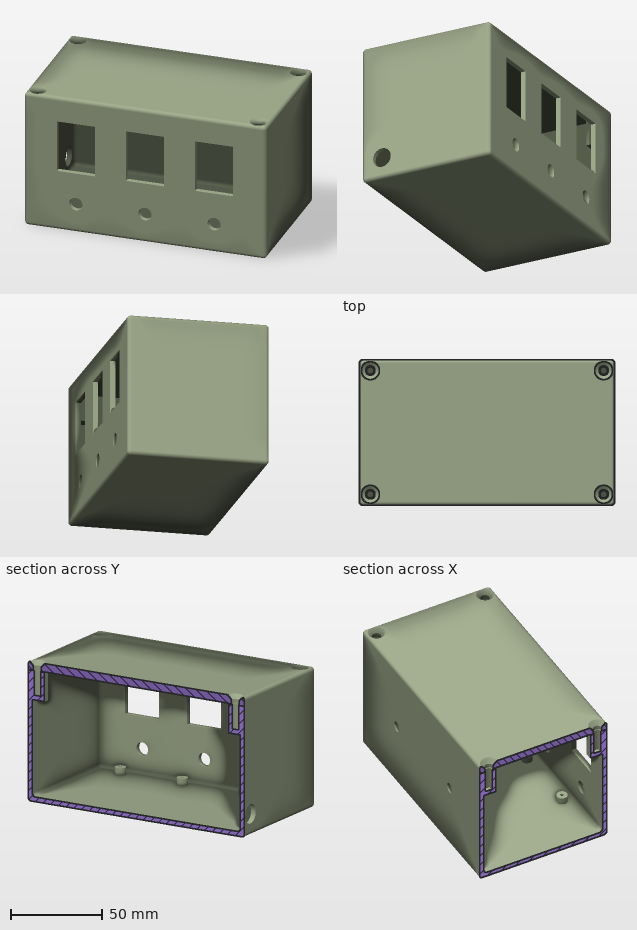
import cadquery as cq
length = 140.0
width = 80.0
height = 80.0
lid_thickness = 5.0
wall = 3.0
edge_radius = 0.4 * lid_thickness
cavity_radius = 2.0

box_height = height - lid_thickness
base_z = -height / 2
floor_z = base_z + wall
seam_z = base_z + box_height

screw_inset = 6.0
clearance_diameter = 5.0
countersink_diameter = 10.0
countersink_angle = 90
pilot_diameter = 4.0
pilot_depth = 14.0
post_size = 9.0
post_length = pilot_depth + wall

station_count = 3
station_pitch = 40.0
window_width = 22.0
window_height = 30.0
window_center_z = 10.5
button_diameter = 7.5
button_center_z = -23.0

standoff_diameter = 6.3
standoff_bore = 2.0
standoff_height = 4.0
standoff_offset_x = 10.0
standoff_y = -30.4

back_hole_diameter = 6.0
back_hole_spacing = 60.0
cable_hole_diameter = 11.0
cable_hole_y = 27.5
cable_hole_z = base_z + 12.0

cut_depth = 2 * wall

screw_points = [
    (side_x * (length / 2 - screw_inset), side_y * (width / 2 - screw_inset))
    for side_x in (-1, 1)
    for side_y in (-1, 1)
]
station_xs = [(i - (station_count - 1) / 2) * station_pitch for i in range(station_count)]
standoff_points = [(x + standoff_offset_x, standoff_y) for x in station_xs]


def rounded_envelope(bottom_z, top_z):
    """Part of the fully rounded outer block between two heights."""
    block = cq.Workplane("XY").box(length, width, height).edges().fillet(edge_radius)
    slab = cq.Workplane("XY", origin=(0, 0, bottom_z)).rect(length, width).extrude(top_z - bottom_z)
    return block.intersect(slab)


def make_cavity():
    """Inside space of the housing, open at the seam."""
    return (
        cq.Workplane("XY", origin=(0, 0, floor_z))
        .rect(length - 2 * wall, width - 2 * wall)
        .extrude(seam_z - floor_z)
        .edges("|Z or <Z")
        .fillet(cavity_radius)
    )


def add_screw_posts(body):
    """Short corner posts under the seam, each with a blind pilot hole."""
    posts = (
        cq.Workplane("XY", origin=(0, 0, seam_z))
        .pushPoints(screw_points)
        .rect(post_size, post_size)
        .extrude(-post_length)
        .intersect(rounded_envelope(base_z, seam_z))
    )
    pilots = (
        cq.Workplane("XY", origin=(0, 0, seam_z))
        .pushPoints(screw_points)
        .circle(pilot_diameter / 2)
        .extrude(-pilot_depth)
    )
    return body.union(posts).cut(pilots)


def add_standoffs(body):
    """Hollow round standoffs on the floor."""
    sleeves = (
        cq.Workplane("XY", origin=(0, 0, floor_z))
        .pushPoints(standoff_points)
        .circle(standoff_diameter / 2)
        .circle(standoff_bore / 2)
        .extrude(standoff_height)
    )
    return body.union(sleeves)


def cut_front_panel(body):
    """Windows and round holes through the front wall."""
    front = cq.Workplane("XZ", origin=(0, -width / 2, 0))
    windows = (
        front.pushPoints([(x, window_center_z) for x in station_xs])
        .rect(window_width, window_height)
        .extrude(-cut_depth)
    )
    buttons = (
        front.pushPoints([(x, button_center_z) for x in station_xs])
        .circle(button_diameter / 2)
        .extrude(-cut_depth)
    )
    return body.cut(windows).cut(buttons)


def cut_back_holes(body):
    """Pair of round holes through the back wall at mid height."""
    holes = (
        cq.Workplane("XZ", origin=(0, width / 2, 0))
        .pushPoints([(side * back_hole_spacing / 2, 0) for side in (-1, 1)])
        .circle(back_hole_diameter / 2)
        .extrude(cut_depth)
    )
    return body.cut(holes)


def cut_cable_hole(body):
    """Round cable entry through the left wall, near the floor."""
    hole = (
        cq.Workplane("YZ", origin=(-length / 2, cable_hole_y, cable_hole_z))
        .circle(cable_hole_diameter / 2)
        .extrude(cut_depth)
    )
    return body.cut(hole)


def make_housing():
    body = rounded_envelope(base_z, seam_z).cut(make_cavity())
    body = add_screw_posts(body)
    body = add_standoffs(body)
    body = cut_front_panel(body)
    body = cut_back_holes(body)
    return cut_cable_hole(body)


def make_lid():
    """Flat cover with a countersunk screw hole in each corner."""
    return (
        rounded_envelope(seam_z, height / 2)
        .faces(">Z")
        .workplane(origin=(0, 0, height / 2))
        .pushPoints(screw_points)
        .cskHole(clearance_diameter, countersink_diameter, countersink_angle)
    )


housing = make_housing()
lid = make_lid()
result = cq.Compound.makeCompound([housing.val(), lid.val()])